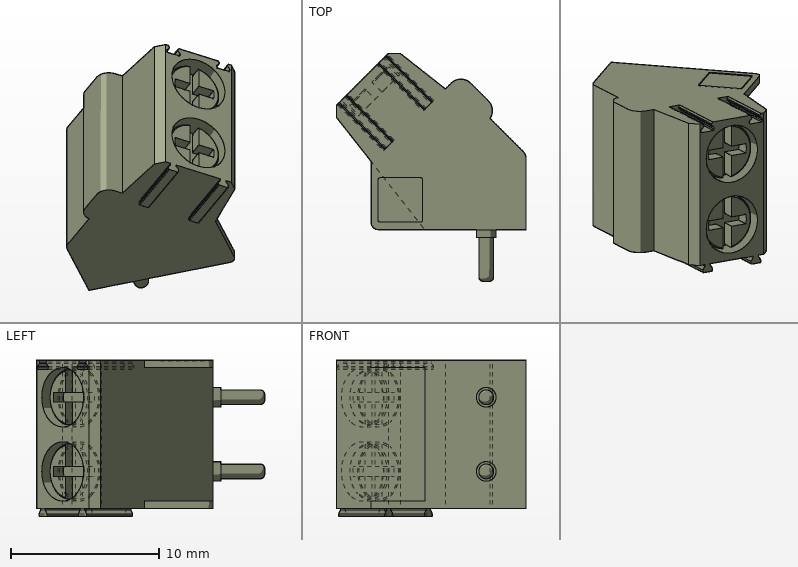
import cadquery as cq
import math


pitch = 5.0
poles = 2
height = poles * pitch
width = 10.47
right_side_length = 5.08
front_corner_radius = 0.5
rear_corner_radius = 0.7

nose_left = -2.34
nose_top = 11.9
nose_face_width = 4.97
nose_chamfer = 0.8
nose_flank_angle = 38.2

lug_height = 0.75
lug_length = 3.55
lug_end = 0.38
lug_radius = 0.92

plate_thickness = 0.51

recess_size = 3.0
recess_left = 0.48
recess_front = 0.51
recess_radius = 0.14
recess_depth = 0.06

pin_x = 7.78
pin_diameter = 1.0
pin_length = 3.5
pin_tip_radius = 0.31
collar_radius = 0.66
collar_length = 0.52

screw_hole_radius = 2.0
screw_radius = 1.88
screw_chamfer = 0.1
screw_recess = 0.59
screw_slot_width = 0.66
screw_slot_depth = 0.97
short_slot_radius = 1.48

rail_spacing = 3.77
rail_length = 4.4
rail_section = [(0.22, 0), (0.22, 0.1), (0.38, 0.35), (0.38, 0.5), (0.32, 0.55)]
groove_section = [(0.4, 0), (0.31, 0.12), (0.31, 0.22), (0.51, 0.42), (0.51, 0.52), (0.45, 0.62)]

face_half = nose_face_width / 2 * math.sin(math.radians(45))
face_center = (nose_left + face_half, nose_top - face_half)
flank_slope = math.tan(math.radians(nose_flank_angle))
screw_heights = [pitch * (i + 0.5) for i in range(poles)]

lower_flank_y = nose_top - 2 * face_half - nose_chamfer
flank_at_side = lower_flank_y + nose_left / flank_slope
flank_at_front = flank_at_side * flank_slope

wall_offset = (width + right_side_length) * math.sin(math.radians(45))
wall_plane = cq.Plane(origin=(0, 0, 0), xDir=(1, -1, 0), normal=(0, 0, 1))
lug_center = lug_end - lug_length / 2

upper_flank_x = nose_left + 2 * face_half + nose_chamfer
lug_side = (lug_end - lug_length) * math.sqrt(2)
lug_foot_x = (nose_top + flank_slope * upper_flank_x + lug_side) / (1 + flank_slope)
lug_foot = (lug_foot_x, lug_foot_x - lug_side)


def nose_plane(z, depth=0.0):
    """Plane parallel to the nose face, normal into the housing, local y up."""
    face = cq.Plane(origin=(*face_center, z), xDir=(1, 1, 0), normal=(1, -1, 0))
    return cq.Plane(origin=face.toWorldCoords((0, 0, depth)), xDir=face.xDir, normal=face.zDir)


def make_housing():
    under_lug = wall_plane.toWorldCoords((lug_center, wall_offset))
    outline = [
        (0, 0),
        (width, 0),
        (width, right_side_length),
        (under_lug.x, under_lug.y),
        lug_foot,
        (upper_flank_x, nose_top),
        (nose_left + 2 * face_half, nose_top),
        (nose_left, nose_top - 2 * face_half),
        (nose_left, lower_flank_y),
        (0, flank_at_side),
    ]
    body = cq.Workplane("XY").polyline(outline).close().extrude(height)
    front_corner = cq.selectors.NearestToPointSelector((0, 0, height / 2))
    rear_corner = cq.selectors.NearestToPointSelector((width, right_side_length, height / 2))
    body = body.edges(front_corner).fillet(front_corner_radius)
    return body.edges(rear_corner).fillet(rear_corner_radius)


def make_lug():
    lug_depth = lug_length
    lug = (
        cq.Workplane(wall_plane)
        .center(lug_center, wall_offset + lug_height - lug_depth / 2)
        .rect(lug_length, lug_depth)
        .extrude(height)
    )
    return lug.faces(">(1, 1, 0)").edges("|Z").fillet(lug_radius)


def make_front_clip():
    return (
        cq.Workplane("XY")
        .workplane(offset=plate_thickness)
        .polyline([(0, 0), (flank_at_front, 0), (0, flank_at_side)])
        .close()
        .extrude(height - 2 * plate_thickness)
    )


def make_square_recess():
    return (
        cq.Workplane("XY")
        .workplane(offset=height - recess_depth)
        .center(recess_left + recess_size / 2, recess_front + recess_size / 2)
        .rect(recess_size, recess_size)
        .extrude(recess_depth)
        .edges("|Z")
        .fillet(recess_radius)
    )


def make_pin(z):
    front = cq.Workplane("XZ", origin=(pin_x, 0, z))
    pin = front.circle(pin_diameter / 2).extrude(pin_length).faces("<Y").edges().fillet(pin_tip_radius)
    return pin.union(front.circle(collar_radius).extrude(collar_length))


def make_screw_cavity(z):
    """Hole with a clearance ring around the screw, and the screw's cross slot."""
    hole_depth = screw_recess + screw_slot_depth
    hole = cq.Workplane(nose_plane(z)).circle(screw_hole_radius).extrude(hole_depth)
    front = cq.Workplane(nose_plane(z, screw_recess))
    head = front.circle(screw_radius).extrude(screw_slot_depth)
    head = head.faces("<(1, -1, 0)").chamfer(screw_chamfer)
    long_slot = front.rect(screw_slot_width, 2 * screw_radius).extrude(screw_slot_depth)
    short_slot = front.rect(2 * screw_radius, screw_slot_width).extrude(screw_slot_depth)
    short_slot = short_slot.intersect(front.circle(short_slot_radius).extrude(screw_slot_depth))
    head = head.cut(long_slot).cut(short_slot)
    return hole.cut(head)


def make_coupling(z, section, x):
    """Bar of symmetric section running from the nose face, hanging below height z."""
    right = [(x + half_width, -drop) for half_width, drop in section]
    left = [(x - half_width, -drop) for half_width, drop in reversed(section)]
    return cq.Workplane(nose_plane(z)).polyline(right + left).close().extrude(rail_length)


result = make_housing().union(make_lug()).cut(make_front_clip()).cut(make_square_recess())

for z in screw_heights:
    result = result.union(make_pin(z)).cut(make_screw_cavity(z))

for x in (-rail_spacing / 2, rail_spacing / 2):
    result = result.union(make_coupling(0, rail_section, x))
    result = result.cut(make_coupling(height, groove_section, x))